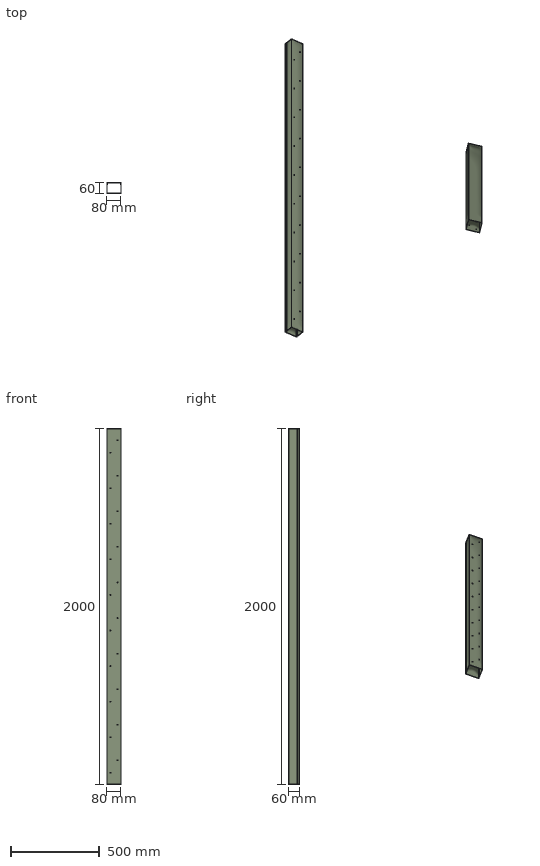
import cadquery as cq

WIDTH = 80.0
DEPTH = 60.0
LENGTH = 2000.0

BASE_WALL = 1.8
COVER_WALL = 1.5

COVER_DEPTH = 10.0

HOLE_DIAMETER = 4.0
HOLE_PITCH = 200.0
HOLES_PER_ROW = 10
ROW_OFFSET = 20.0
END_MARGIN = 65.0

HALF_WIDTH = WIDTH / 2
FRONT_Y = -DEPTH / 2
BACK_Y = DEPTH / 2
SEAM_Y = BACK_Y - COVER_DEPTH
COVER_INNER_X = HALF_WIDTH - COVER_WALL
COVER_INNER_Y = BACK_Y - COVER_WALL


def extruded_section(right_half):
    """Full-length prism from the +X half of a section that is symmetric about X = 0."""
    left_half = [(-x, y) for x, y in reversed(right_half)]
    return cq.Workplane("XY").polyline(right_half + left_half).close().extrude(LENGTH)


def hole_centres():
    """(X, Z) centres: the left row starts at the bottom margin, the right row at the top margin."""
    centres = []
    for index in range(HOLES_PER_ROW):
        step = index * HOLE_PITCH
        centres.append((-ROW_OFFSET, END_MARGIN + step))
        centres.append((ROW_OFFSET, LENGTH - END_MARGIN - step))
    return centres


def make_base():
    """Channel open towards +Y, whose side walls step inwards to fit inside the cover."""
    wall_inner_x = HALF_WIDTH - BASE_WALL
    tongue_inner_x = COVER_INNER_X - BASE_WALL
    step_inner_y = SEAM_Y - BASE_WALL
    web_inner_y = FRONT_Y + BASE_WALL
    channel = extruded_section([
        (HALF_WIDTH, FRONT_Y),
        (HALF_WIDTH, SEAM_Y),
        (COVER_INNER_X, SEAM_Y),
        (COVER_INNER_X, COVER_INNER_Y),
        (tongue_inner_x, COVER_INNER_Y),
        (tongue_inner_x, step_inner_y),
        (wall_inner_x, step_inner_y),
        (wall_inner_x, web_inner_y),
    ])
    holes = (
        cq.Workplane("XZ", origin=(0, FRONT_Y, 0))
        .pushPoints(hole_centres())
        .circle(HOLE_DIAMETER / 2)
        .extrude(-BASE_WALL)
    )
    return channel.cut(holes)


def make_cover():
    """Shallow U-shaped lid, flush with the outside of the base."""
    return extruded_section([
        (HALF_WIDTH, BACK_Y),
        (HALF_WIDTH, SEAM_Y),
        (COVER_INNER_X, SEAM_Y),
        (COVER_INNER_X, COVER_INNER_Y),
    ])


base = make_base()
cover = make_cover()

result = cq.Compound.makeCompound([base.val(), cover.val()])